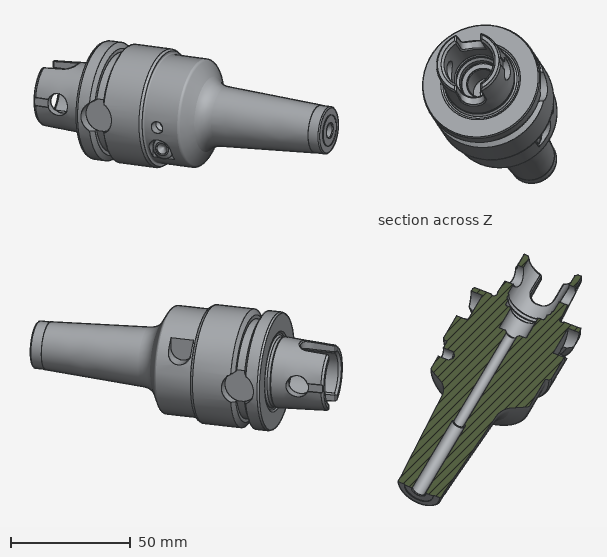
import cadquery as cq


LENGTH = 130.0
FLANGE_RADIUS = 50.0 / 2

SHANK_LENGTH = 24.6
SHANK_END_RADIUS = 13.8
TAPER_END_X = 22.6
TAPER_END_RADIUS = 15.0
SHANK_CHAMFER_LENGTH = 1.0
SHANK_CHAMFER_DROP = 0.6
NECK_START_X = 23.0
NECK_END_X = 24.3
NECK_RADIUS = 14.7

RECESS_RADIUS = 17.0
RECESS_OUTER_FLOOR_RADIUS = 16.2
RECESS_INNER_FLOOR_RADIUS = 15.5
RECESS_DEPTH = 0.5

FLANGE_EDGE_LENGTH = 0.9
FLANGE_EDGE_DROP = 0.4
FLANGE_END_X = 54.9
FLANGE_END_CHAMFER_LENGTH = 1.2
FLANGE_END_CHAMFER_DROP = 0.6
GROOVE_CENTER_X = 33.9
GROOVE_WIDTH = 3.9
GROOVE_MOUTH_WIDTH = 6.6
GROOVE_STEP_RADIUS = 22.6
GROOVE_FLOOR_RADIUS = 21.0

BODY_RADIUS = 22.9
BODY_ROOT_RADIUS = 0.5
BODY_END_X = 70.3
SHOULDER_START_X = 71.4
SHOULDER_START_RADIUS = 22.1
SHOULDER_END_X = 75.0
SHOULDER_END_RADIUS = 15.9
NOSE_START_X = 81.2
NOSE_START_RADIUS = 12.6
NOSE_END_X = 124.5
NOSE_END_RADIUS = 10.1
COLLAR_RADIUS = 20.0 / 2
COLLAR_CHAMFER = 0.5
RIM_RADIUS = 6.6
RIM_HEIGHT = 0.4

SHANK_BORE_RADIUS = 10.5
SHANK_BORE_DEPTH = 21.3
MOUTH_CHAMFER = 1.0
STEP_BORE_RADIUS = 20.0 / 2
STEP_BORE_DEPTH = 23.4
GUIDE_BORE_RADIUS = 18.0 / 2
GUIDE_BORE_DEPTH = 27.3
THREAD_BORE_RADIUS = 12.4 / 2
THREAD_BORE_DEPTH = 39.0
THROUGH_RADIUS = 4.7 / 2
THROUGH_MOUTH_RADIUS = 3.2
TOOL_BORE_RADIUS = 6.0 / 2
TOOL_BORE_DEPTH = 39.0
BORE_EDGE = 0.4

SLOT_WIDTH = 10.1
SLOT_DEPTH = 13.8
SLOT_MOUTH_CHAMFER = 0.8
SLOT_CORNER_RADIUS = 4.0
SLOT_EDGE_CHAMFER = 0.5

CROSS_HOLE_RADIUS = 9.5 / 2
CROSS_HOLE_X = 11.3
FLAT_WIDTH = 3.5
FLAT_DISTANCE = 13.4

DRIVE_RECESS_RADIUS = 14.0 / 2
DRIVE_RECESS_FLOOR = 19.9
DRIVE_RECESS_X = 34.0

SIDE_FEATURE_X = 61.0
POCKET_RADIUS = 5.0
POCKET_Z = 11.8
POCKET_FLOOR = 16.0
SCREW_RADIUS = 4.7
SCREW_TIP_RADIUS = 6.0 / 2
SCREW_COLLAR_HEIGHT = 0.6
SCREW_CONE_HEIGHT = 1.0
SCREW_TOP = POCKET_FLOOR + SCREW_COLLAR_HEIGHT + SCREW_CONE_HEIGHT
SOCKET_RADIUS = 4.7 / 2
FILL_HOLE_Z = -1.2
FILL_HOLE_RADIUS = 5.2 / 2
FILL_HOLE_FLOOR = 18.2
FILL_NARROW_RADIUS = 2.3 / 2
FILL_NARROW_FLOOR = 14.3


def revolve_about_x(profile):
    """Turn a closed profile of (x, radius) points about the X axis."""
    return profile.close().revolve(360, (0, 0, 0), (1, 0, 0))


def side_cylinder(x, z, radius, inner, outer):
    """Cylinder along Y between two distances out on the -Y side."""
    return cq.Workplane("XZ", origin=(x, -inner, z)).circle(radius).extrude(outer - inner)


def side_cone(x, z, inner_radius, outer_radius, inner, outer):
    """Truncated cone along Y between two distances out on the -Y side."""
    base = cq.Vector(x, -inner, z)
    cone = cq.Solid.makeCone(inner_radius, outer_radius, outer - inner, base, cq.Vector(0, -1, 0))
    return cq.Workplane(obj=cone)


def opposite(shape):
    """The same shape turned half a turn about the X axis."""
    return shape.rotate((0, 0, 0), (1, 0, 0), 180)


def outer_body():
    groove_left = GROOVE_CENTER_X - GROOVE_WIDTH / 2
    groove_right = GROOVE_CENTER_X + GROOVE_WIDTH / 2
    mouth_left = GROOVE_CENTER_X - GROOVE_MOUTH_WIDTH / 2
    mouth_right = GROOVE_CENTER_X + GROOVE_MOUTH_WIDTH / 2
    rim_x = LENGTH - RIM_HEIGHT
    profile = (
        cq.Workplane("XY")
        .moveTo(LENGTH, 0)
        .lineTo(LENGTH, RIM_RADIUS)
        .lineTo(rim_x, RIM_RADIUS)
        .lineTo(rim_x, COLLAR_RADIUS - COLLAR_CHAMFER)
        .lineTo(rim_x - COLLAR_CHAMFER, COLLAR_RADIUS)
        .lineTo(NOSE_END_X, COLLAR_RADIUS)
        .lineTo(NOSE_END_X, NOSE_END_RADIUS)
        .lineTo(NOSE_START_X, NOSE_START_RADIUS)
        .tangentArcPoint((SHOULDER_END_X, SHOULDER_END_RADIUS), relative=False)
        .lineTo(SHOULDER_START_X, SHOULDER_START_RADIUS)
        .tangentArcPoint((BODY_END_X, BODY_RADIUS), relative=False)
        .lineTo(FLANGE_END_X + BODY_ROOT_RADIUS, BODY_RADIUS)
        .tangentArcPoint((FLANGE_END_X, BODY_RADIUS + BODY_ROOT_RADIUS), relative=False)
        .lineTo(FLANGE_END_X, FLANGE_RADIUS - FLANGE_END_CHAMFER_DROP)
        .lineTo(FLANGE_END_X - FLANGE_END_CHAMFER_LENGTH, FLANGE_RADIUS)
        .lineTo(mouth_right, FLANGE_RADIUS)
        .lineTo(groove_right, GROOVE_STEP_RADIUS)
        .lineTo(groove_right, GROOVE_FLOOR_RADIUS)
        .lineTo(groove_left, GROOVE_FLOOR_RADIUS)
        .lineTo(groove_left, GROOVE_STEP_RADIUS)
        .lineTo(mouth_left, FLANGE_RADIUS)
        .lineTo(SHANK_LENGTH + FLANGE_EDGE_LENGTH, FLANGE_RADIUS)
        .lineTo(SHANK_LENGTH, FLANGE_RADIUS - FLANGE_EDGE_DROP)
        .lineTo(SHANK_LENGTH, RECESS_RADIUS)
        .lineTo(SHANK_LENGTH + RECESS_DEPTH, RECESS_OUTER_FLOOR_RADIUS)
        .lineTo(SHANK_LENGTH + RECESS_DEPTH, RECESS_INNER_FLOOR_RADIUS)
        .lineTo(NECK_END_X, NECK_RADIUS)
        .lineTo(NECK_START_X, NECK_RADIUS)
        .lineTo(TAPER_END_X, TAPER_END_RADIUS)
        .lineTo(SHANK_CHAMFER_LENGTH, SHANK_END_RADIUS)
        .lineTo(0, SHANK_END_RADIUS - SHANK_CHAMFER_DROP)
        .lineTo(0, 0)
    )
    return revolve_about_x(profile)


def axial_bore():
    first_step = SHANK_BORE_RADIUS - STEP_BORE_RADIUS
    second_step = STEP_BORE_RADIUS - GUIDE_BORE_RADIUS
    through_taper = THROUGH_MOUTH_RADIUS - THROUGH_RADIUS
    tool_bore_x = LENGTH - TOOL_BORE_DEPTH
    profile = (
        cq.Workplane("XY")
        .moveTo(0, 0)
        .lineTo(0, SHANK_BORE_RADIUS + MOUTH_CHAMFER)
        .lineTo(MOUTH_CHAMFER, SHANK_BORE_RADIUS)
        .lineTo(SHANK_BORE_DEPTH, SHANK_BORE_RADIUS)
        .lineTo(SHANK_BORE_DEPTH + first_step, STEP_BORE_RADIUS)
        .lineTo(STEP_BORE_DEPTH, STEP_BORE_RADIUS)
        .lineTo(STEP_BORE_DEPTH + second_step, GUIDE_BORE_RADIUS)
        .lineTo(GUIDE_BORE_DEPTH - BORE_EDGE, GUIDE_BORE_RADIUS)
        .lineTo(GUIDE_BORE_DEPTH, GUIDE_BORE_RADIUS - BORE_EDGE)
        .lineTo(GUIDE_BORE_DEPTH, THREAD_BORE_RADIUS + BORE_EDGE)
        .lineTo(GUIDE_BORE_DEPTH + BORE_EDGE, THREAD_BORE_RADIUS)
        .lineTo(THREAD_BORE_DEPTH, THREAD_BORE_RADIUS)
        .lineTo(THREAD_BORE_DEPTH, THROUGH_MOUTH_RADIUS)
        .lineTo(THREAD_BORE_DEPTH + through_taper, THROUGH_RADIUS)
        .lineTo(tool_bore_x, THROUGH_RADIUS)
        .lineTo(tool_bore_x, TOOL_BORE_RADIUS)
        .lineTo(LENGTH - BORE_EDGE, TOOL_BORE_RADIUS)
        .lineTo(LENGTH, TOOL_BORE_RADIUS + BORE_EDGE)
        .lineTo(LENGTH, 0)
    )
    return revolve_about_x(profile)


def cut_drive_slots(body):
    """Cut the slot through both walls of the shank and chamfer its edges and mouth."""
    half_width = SLOT_WIDTH / 2
    slot = (
        cq.Workplane("XY")
        .box(2 * SLOT_DEPTH, SLOT_WIDTH, 4 * SHANK_END_RADIUS)
        .edges("|Z and >X")
        .fillet(SLOT_CORNER_RADIUS)
    )
    body = body.cut(slot)
    margin = SLOT_EDGE_CHAMFER / 2
    slot_region = cq.selectors.BoxSelector(
        (-margin, -half_width - margin, -TAPER_END_RADIUS),
        (SLOT_DEPTH + margin, half_width + margin, TAPER_END_RADIUS),
        boundingbox=True,
    )
    end_region = cq.selectors.BoxSelector(
        (-margin, -SLOT_WIDTH, -TAPER_END_RADIUS),
        (SHANK_CHAMFER_LENGTH + margin, SLOT_WIDTH, TAPER_END_RADIUS),
        boundingbox=True,
    )
    corner_edges = cq.selectors.ParallelDirSelector(cq.Vector(0, 0, 1))
    body = body.edges(slot_region - end_region - corner_edges).chamfer(SLOT_EDGE_CHAMFER)
    mouth_half_width = half_width + SLOT_MOUTH_CHAMFER
    mouth = (
        cq.Workplane("XY")
        .polyline([
            (0, mouth_half_width),
            (SLOT_MOUTH_CHAMFER, half_width),
            (SLOT_MOUTH_CHAMFER, -half_width),
            (0, -mouth_half_width),
        ])
        .close()
        .extrude(2 * SHANK_END_RADIUS, both=True)
    )
    return body.cut(mouth)


def shank_flat():
    """Shallow flat on the -Y side of the shank, from its end to the cross hole."""
    return cq.Workplane("XY").box(
        CROSS_HOLE_X, SHANK_LENGTH, FLAT_WIDTH, centered=(False, False, True)
    ).translate((0, -FLAT_DISTANCE - SHANK_LENGTH, 0))


def screw_pocket():
    """Round-ended pocket on the -Y side, open towards -Z, with a flat floor."""
    round_end = side_cylinder(SIDE_FEATURE_X, -POCKET_Z, POCKET_RADIUS, POCKET_FLOOR, FLANGE_RADIUS)
    open_end = cq.Workplane("XY").box(
        2 * POCKET_RADIUS, FLANGE_RADIUS - POCKET_FLOOR, FLANGE_RADIUS - POCKET_Z
    ).translate((
        SIDE_FEATURE_X,
        -(FLANGE_RADIUS + POCKET_FLOOR) / 2,
        -(FLANGE_RADIUS + POCKET_Z) / 2,
    ))
    return round_end.union(open_end)


def screw_head():
    """Screw head standing on the pocket floor: a short collar with a conical top."""
    cone_base = SCREW_TOP - SCREW_CONE_HEIGHT
    collar = side_cylinder(SIDE_FEATURE_X, -POCKET_Z, SCREW_RADIUS, POCKET_FLOOR, cone_base)
    top = side_cone(
        SIDE_FEATURE_X, -POCKET_Z, SCREW_RADIUS, SCREW_TIP_RADIUS, cone_base, SCREW_TOP
    )
    return collar.union(top)


def screw_socket():
    """Conical socket in the end of the screw."""
    socket_bottom = SCREW_TOP - SOCKET_RADIUS
    return side_cone(SIDE_FEATURE_X, -POCKET_Z, 0, SOCKET_RADIUS, socket_bottom, SCREW_TOP)


def fill_hole():
    """Stepped filling hole with a conical seat."""
    wide = side_cylinder(
        SIDE_FEATURE_X, FILL_HOLE_Z, FILL_HOLE_RADIUS, FILL_HOLE_FLOOR, FLANGE_RADIUS
    )
    seat_depth = FILL_HOLE_RADIUS - FILL_NARROW_RADIUS
    seat = side_cone(
        SIDE_FEATURE_X, FILL_HOLE_Z, FILL_NARROW_RADIUS, FILL_HOLE_RADIUS,
        FILL_HOLE_FLOOR - seat_depth, FILL_HOLE_FLOOR,
    )
    narrow = side_cylinder(
        SIDE_FEATURE_X, FILL_HOLE_Z, FILL_NARROW_RADIUS, FILL_NARROW_FLOOR, FILL_HOLE_FLOOR
    )
    return wide.union(seat).union(narrow)


holder = outer_body().cut(axial_bore())
holder = cut_drive_slots(holder)

drive_recess = side_cylinder(
    DRIVE_RECESS_X, 0, DRIVE_RECESS_RADIUS, DRIVE_RECESS_FLOOR, FLANGE_RADIUS
)
cross_hole = side_cylinder(CROSS_HOLE_X, 0, CROSS_HOLE_RADIUS, 0, SHANK_LENGTH)
for cutter in (drive_recess, cross_hole, shank_flat(), screw_pocket()):
    holder = holder.cut(cutter).cut(opposite(cutter))

result = holder.union(screw_head()).cut(screw_socket()).cut(fill_hole())